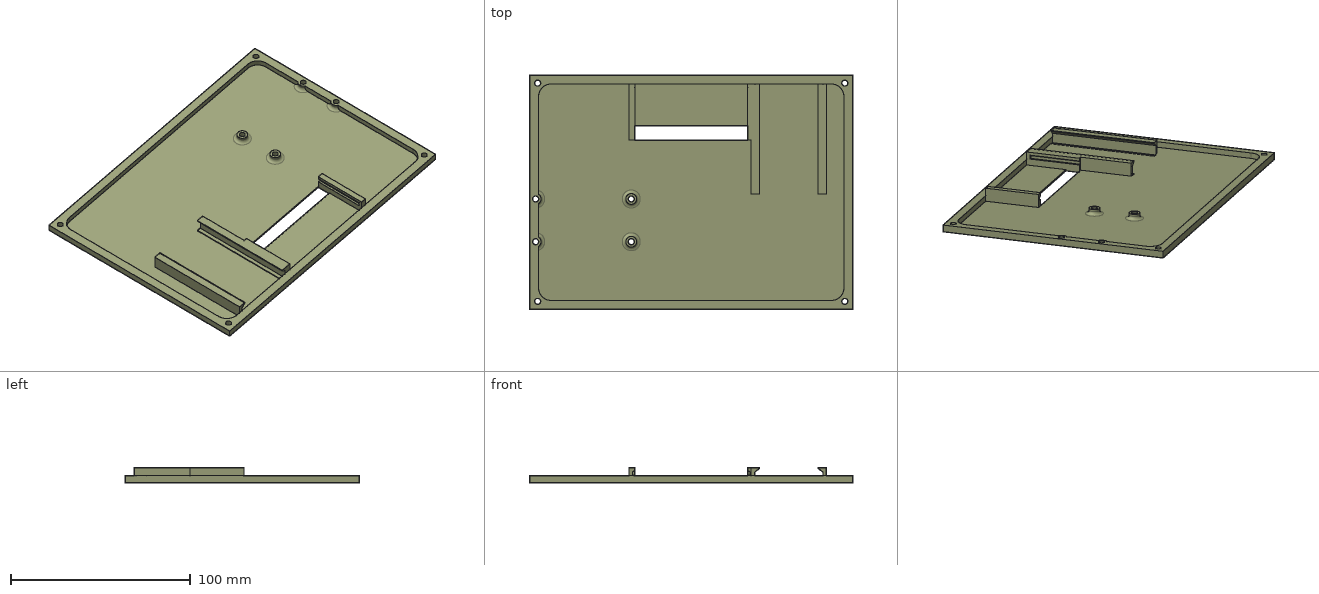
import cadquery as cq
LENGTH = 180.0
WIDTH = 130.5
RIM_HEIGHT = 4.0
FLOOR = 0.8
RIM_WIDTH = 5.0
POCKET_RADIUS = 7.0
POCKET_RIGHT = LENGTH / 2 - RIM_WIDTH
POCKET_BACK = WIDTH / 2 - RIM_WIDTH

HOLE_DIAMETER = 3.2
CORNER_INSET = 4.5

STANDOFF_DIAMETER = 6.0
STANDOFF_FLARE = 2.0
STANDOFF_SPACING_X = 53.2
STANDOFF_SPACING_Y = 23.8
STANDOFF_LEFT = -86.6
STANDOFF_FRONT = -27.55

TOP = 8.45
WEB = 2.0
LIP_REACH = 2.6
LIP_EDGE = 0.5
LIP_SLOPE_HEIGHT = 2.0
LONG_RAIL = 61.25
LONG_RAIL_LEFT = 33.4
LONG_RAIL_RIGHT = 75.25
RECESS_DEPTH = 0.4

SHORT_RAIL = 31.3
GUIDE_LEFT = -34.7
GUIDE_LEFT_WIDTH = 3.3
GUIDE_RIGHT_WIDTH = 2.0
GROOVE_DEPTH = 1.3
GROOVE_CEILING = 6.8
GROOVE_CEILING_DROP = 0.7
GROOVE_FLOOR = 4.5
GROOVE_STOP = 2.0
SLOT_WIDTH = 8.0
SLOT_LEFT = GUIDE_LEFT + GUIDE_LEFT_WIDTH
SLOT_RIGHT = LONG_RAIL_LEFT - GUIDE_RIGHT_WIDTH


def box(x_min, x_max, y_min, y_max, z_min, z_max):
    """Block between two opposite corners."""
    size = (x_max - x_min, y_max - y_min, z_max - z_min)
    return cq.Workplane("XY").box(*size, centered=False).translate((x_min, y_min, z_min))


def run_along_y(profile, y_back, length):
    """Extrude an XZ outline forward from y_back."""
    return cq.Workplane("XZ", origin=(0, y_back, 0)).polyline(profile).close().extrude(length)


def plate_blank():
    return box(-LENGTH / 2, LENGTH / 2, -WIDTH / 2, WIDTH / 2, 0, RIM_HEIGHT)


def tray():
    pocket = box(-POCKET_RIGHT, POCKET_RIGHT, -POCKET_BACK, POCKET_BACK, FLOOR, RIM_HEIGHT)
    return plate_blank().cut(pocket.edges("|Z").fillet(POCKET_RADIUS))


def standoff(x, y):
    """Turned boss whose foot flares out to the floor in a quarter circle, trimmed to the plate outline."""
    radius = STANDOFF_DIAMETER / 2
    foot = radius + STANDOFF_FLARE
    flare_top = FLOOR + STANDOFF_FLARE
    outline = (
        cq.Workplane("XZ")
        .lineTo(foot, 0)
        .lineTo(foot, FLOOR)
        .radiusArc((radius, flare_top), STANDOFF_FLARE)
        .lineTo(radius, RIM_HEIGHT)
        .lineTo(0, RIM_HEIGHT)
        .close()
    )
    boss = outline.revolve(360, (0, 0, 0), (0, 1, 0)).translate((x, y, 0))
    return boss.intersect(plate_blank())


def lipped_rail(outer_x, inward):
    """Web with an overhanging lip; inward is the X direction (+1 or -1) of the lip."""
    web_x = outer_x + inward * WEB
    tip_x = web_x + inward * LIP_REACH
    lip_bottom = TOP - LIP_EDGE
    profile = [
        (outer_x, FLOOR),
        (outer_x, TOP),
        (tip_x, TOP),
        (tip_x, lip_bottom),
        (web_x, lip_bottom - LIP_SLOPE_HEIGHT),
        (web_x, FLOOR),
    ]
    return run_along_y(profile, POCKET_BACK, LONG_RAIL)


def lip_recess(outer_x, inward):
    """Shallow recess in the floor below the lip."""
    web_x = outer_x + inward * WEB
    tip_x = web_x + inward * LIP_REACH
    return box(min(web_x, tip_x), max(web_x, tip_x), POCKET_BACK - LONG_RAIL, POCKET_BACK,
               FLOOR - RECESS_DEPTH, FLOOR)


def guide(x_min, x_max):
    return box(x_min, x_max, POCKET_BACK - SHORT_RAIL, POCKET_BACK, FLOOR, TOP)


def guide_groove(mouth_x, into):
    """Groove with a sloping ceiling, stopped short of the back wall; into is its X direction."""
    root_x = mouth_x + into * GROOVE_DEPTH
    profile = [
        (mouth_x, GROOVE_FLOOR),
        (mouth_x, GROOVE_CEILING),
        (root_x, GROOVE_CEILING - GROOVE_CEILING_DROP),
        (root_x, GROOVE_FLOOR),
    ]
    return run_along_y(profile, POCKET_BACK - GROOVE_STOP, SHORT_RAIL - GROOVE_STOP)


def hole(x, y):
    return cq.Workplane("XY").circle(HOLE_DIAMETER / 2).extrude(RIM_HEIGHT).translate((x, y, 0))


standoff_places = [
    (STANDOFF_LEFT + column * STANDOFF_SPACING_X, STANDOFF_FRONT + row * STANDOFF_SPACING_Y)
    for column in range(2)
    for row in range(2)
]
corner_places = [
    (side * (LENGTH / 2 - CORNER_INSET), end * (WIDTH / 2 - CORNER_INSET))
    for side in (-1, 1)
    for end in (-1, 1)
]
lipped_rails = [(LONG_RAIL_LEFT, 1), (LONG_RAIL_RIGHT, -1)]

result = tray()

for place in standoff_places:
    result = result.union(standoff(*place))
for place in standoff_places + corner_places:
    result = result.cut(hole(*place))

for rail in lipped_rails:
    result = result.union(lipped_rail(*rail)).cut(lip_recess(*rail))

result = result.union(guide(GUIDE_LEFT, SLOT_LEFT)).union(guide(SLOT_RIGHT, LONG_RAIL_LEFT))
result = result.cut(guide_groove(SLOT_LEFT, -1)).cut(guide_groove(SLOT_RIGHT, 1))

slot_front = POCKET_BACK - SHORT_RAIL
result = result.cut(box(SLOT_LEFT, SLOT_RIGHT, slot_front, slot_front + SLOT_WIDTH, 0, FLOOR))